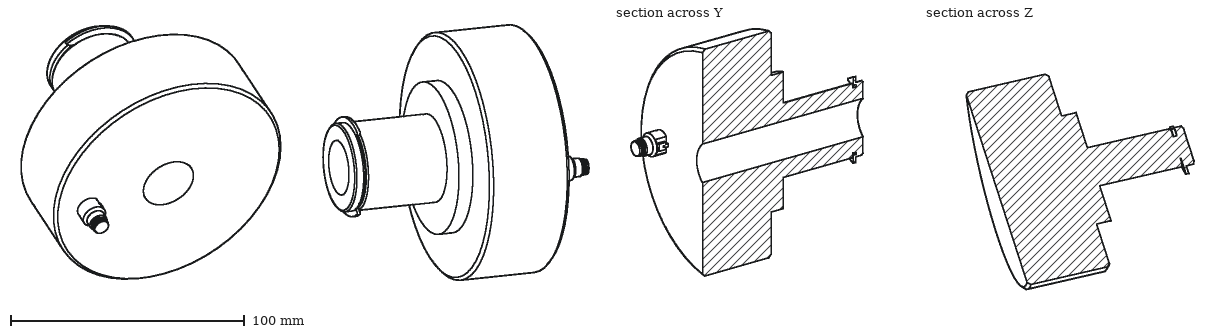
import cadquery as cq

body_diameter = 106.7
body_start = 48.6
body_length = 36.7
body_chamfer = 1.4
body_end = body_start + body_length

collar_diameter = 65.6
collar_start = 42.2

tube_diameter = 38.1
tube_chamfer = 0.7
bore_diameter = 23.5

groove_start = 3.8
groove_width = 1.5
groove_diameter = 34.2
groove_end = groove_start + groove_width
ring_diameter = 43.0
ring_thickness = 1.4
ring_tip_y = -11.7
ring_tip_z = 17.5
ring_tip_fillet = 0.4
ring_mouth_y = -9.6
ring_mouth_z = 16.1

total_length = 99.0
connector_y = -37.4
sleeve_diameter = 10.5
sleeve_end = 92.6
sleeve_chamfer = 1.2
neck_diameter = 8.0
neck_end = 96.2
neck_chamfer = 0.5
plug_diameter = 6.5
thread_diameter = 6.9
thread_width = 0.2
thread_positions = (97.1, 97.8)

flat_height = 3.7
flat_end = 91.1
key_start = 86.5
key_end = 90.1
key_width = 3.3
key_height = 5.0
stem_width = 1.5
pin_x = 87.6
pin_diameter = 0.7
pin_height = 5.3


def rod(diameter, start, end):
    """Cylinder along X between two X positions, centred on the X axis."""
    return cq.Workplane("YZ").workplane(offset=start).circle(diameter / 2).extrude(end - start)


def make_body():
    """Solid drum, collar and grooved tube with chamfered ends."""
    drum = rod(body_diameter, body_start, body_end).edges().chamfer(body_chamfer)
    collar = rod(collar_diameter, collar_start, body_start)
    tube_tip = rod(tube_diameter, 0, groove_start).faces("<X").edges().chamfer(tube_chamfer)
    groove_floor = rod(groove_diameter, groove_start, groove_end)
    tube = rod(tube_diameter, groove_end, collar_start).faces("<X").edges().chamfer(tube_chamfer)
    return drum.union(collar).union(tube).union(groove_floor).union(tube_tip)


def make_retaining_ring():
    """Flat ring seated on the groove floor, its mouth open towards -Y between two rounded tips."""
    ring = rod(ring_diameter, groove_start, groove_start + ring_thickness)
    mouth = (
        cq.Workplane("YZ")
        .workplane(offset=groove_start)
        .moveTo(-ring_diameter, ring_tip_z)
        .lineTo(-ring_diameter, ring_diameter)
        .lineTo(ring_tip_y, ring_diameter)
        .lineTo(ring_tip_y, ring_tip_z)
        .lineTo(ring_mouth_y, ring_mouth_z)
        .lineTo(0, ring_mouth_z)
        .lineTo(0, 0)
        .lineTo(-ring_diameter, 0)
        .close()
        .extrude(ring_thickness)
    )
    ring = ring.cut(mouth).cut(mouth.mirror("XY"))
    tip_edges = cq.selectors.BoxSelector(
        (0, ring_tip_y - ring_tip_fillet, -ring_diameter),
        (groove_end, ring_tip_y + ring_tip_fillet, ring_diameter),
    )
    return ring.edges("|X").edges(tip_edges).fillet(ring_tip_fillet)


def block(start, end, width, bottom, top):
    """Box between two X and two Y positions, centred on Z = 0."""
    return (
        cq.Workplane("XY")
        .box(end - start, top - bottom, width, centered=(False, False, True))
        .translate((start, bottom, 0))
    )


def make_connector():
    """Stepped plug with thread ridges, a flat and a key, built on the X axis and moved into place."""
    sleeve = rod(sleeve_diameter, body_end, sleeve_end).faces(">X").edges().chamfer(sleeve_chamfer)
    flat_cut = block(body_end, flat_end, sleeve_diameter, flat_height, sleeve_diameter)
    stem = block(body_end, key_start, stem_width, 0, key_height)
    key = block(key_start, key_end, key_width, 0, key_height)
    pin = cq.Workplane("XZ").center(pin_x, 0).circle(pin_diameter / 2).extrude(-pin_height)
    neck = rod(neck_diameter, sleeve_end, neck_end).faces(">X").edges().chamfer(neck_chamfer)
    plug = rod(plug_diameter, neck_end, total_length)
    connector = sleeve.cut(flat_cut).union(stem).union(key).union(pin).union(neck).union(plug)
    for position in thread_positions:
        connector = connector.union(rod(thread_diameter, position, position + thread_width))
    return connector.translate((0, connector_y, 0))


bore = rod(bore_diameter, 0, body_end)
result = make_body().union(make_retaining_ring()).union(make_connector()).cut(bore)